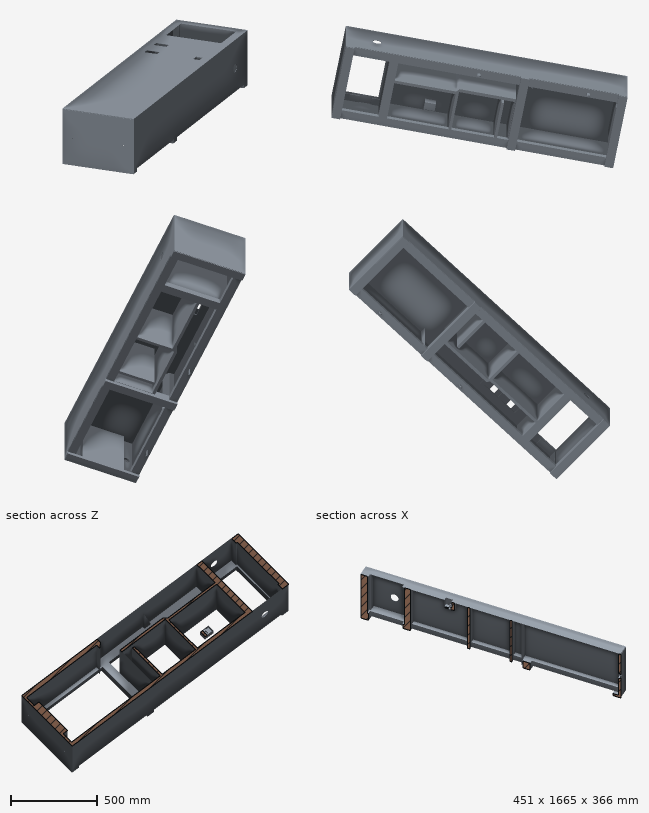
import cadquery as cq

LENGTH = 1665.0
WIDTH = 451.0
HEIGHT = 366.0
SHEET = 2.0

X_SIDE = WIDTH / 2
Y_END = LENGTH / 2
Z_TOP = HEIGHT / 2
Z_TAB_TIP = -HEIGHT / 2
Z_BOTTOM = -138.0
Z_FOOT = -158.0
X_SKIN = X_SIDE - SHEET
Y_SKIN = Y_END - SHEET
Z_SKIN = Z_TOP - SHEET
SKIN_SETBACK = 4.2
Z_SIDE_SKIN = Z_BOTTOM + SKIN_SETBACK
Z_END_SKIN = Z_FOOT + SKIN_SETBACK

FRAME = 50.0
Z_RAIL = -102.0
X_RAIL = X_SKIN - FRAME
FOOT_MIDDLE_Y = -228.0
Y_FOOT = Y_SKIN - FRAME

BAY_FRONT_Y = 553.0
BAY_LIP = 10.0
X_BAY = X_RAIL + BAY_LIP
OPENING_FRONT_Y = 565.0
RIM_THICKNESS = 12.0
RIM_RELIEF_Y = (601.0, 671.0)
BACK_PANEL_RECESS = 8.0

X_RIGHT_WALL = 200.0
DIVIDER_Y = 513.0
FRONT_BAY_Y = -200.0
FRONT_WALL_Y = -816.0
FRONT_BLOCK = (256.0, 33.0)
LEFT_WALL_END_Y = -250.0
X_LEFT_WALL = -195.0
LEFT_GUSSET = 32.0
X_MIDDLE_WALL = (-65.0, -48.0)
X_BRACKET_WALL = -83.0
MIDDLE_RIB_Y = (133.0, 150.0)
CROSS_BAR_Y = (-137.0, -120.0)
CROSS_WALL = 2.0
CROSS_BAR_END_X = -47.0
GUSSET_POINTS = [(148.0, Z_RAIL), (100.0, Z_RAIL), (100.0, 57.0)]
GUSSET_THICKNESS = 17.0

SLOT_X = (-173.0, -93.0)
SLOT_LENGTH = 37.0
SLOT_CENTERS_Y = (400.0, 265.0)
SLOT_FRAME_X = (-185.0, -80.0)
SLOT_FRAME_Y = (181.0, 460.0)
SLOT_FRAME_DEPTH = 10.0
SLOT_CELL_X = (-175.0, -92.0)
SLOT_CELL_LENGTH = 107.0
SLOT_CELL_OFFSET = 3.0

SOCKET_X = (133.0, 173.0)
SOCKET_Y = (250.0, 295.0)
SOCKET_DEPTH = 50.0
SOCKET_STEP_Y = 270.0
SOCKET_STEP_HEIGHT = 10.0
SOCKET_GROOVE_X = (142.0, 165.0)
SOCKET_GROOVE_Y = (258.0, 270.0)
SOCKET_CASE_FRONT_Y = 231.0

HOLE_Z = 10.0
SIDE_HOLE_Y = 648.0
SIDE_HOLE_DIAMETER = 50.0
FRONT_HOLE_X = 160.0
FRONT_HOLE_DIAMETER = 7.0
FRONT_BORE_DIAMETER = 37.0
FRONT_HOLE_SKIN = 5.0

HANGER_X = -198.0
HANGER_THICKNESS = 3.0
HANGER_STRIP_HEIGHT = 17.0
TAB_CENTERS_Y = (42.0, -605.0)
TAB_WIDTH = 18.0
EYE_THICKNESS = 4.7
EYE_HOLE_DIAMETER = 8.0


def block(x_range, y_range, z_range):
    """Rectangular block between pairs of X, Y and Z limits."""
    (x0, x1), (y0, y1), (z0, z1) = x_range, y_range, z_range
    corner = cq.Vector(x0, y0, z0)
    return cq.Workplane(cq.Solid.makeBox(x1 - x0, y1 - y0, z1 - z0, corner))


def cylinder_y(diameter, x, y_start, depth):
    """Cylinder that runs along +Y at the height of the holes."""
    start = cq.Vector(x, y_start, HOLE_Z)
    return cq.Workplane(cq.Solid.makeCylinder(diameter / 2, depth, start, cq.Vector(0, 1, 0)))


def cylinder_x(diameter, start, length):
    """Cylinder that runs along +X from a start point."""
    return cq.Workplane(cq.Solid.makeCylinder(diameter / 2, length, cq.Vector(*start), cq.Vector(1, 0, 0)))


def span(center, length):
    """Limits of a length centred on a place."""
    return (center - length / 2, center + length / 2)


def outer_block():
    """Outside of the housing: a core with feet, under side and end skins with open corners."""
    core_x = (-X_SKIN, X_SKIN)
    body = block(core_x, (-Y_SKIN, Y_SKIN), (Z_BOTTOM, Z_TOP))
    body = body.union(block((-X_SIDE, X_SIDE), span(FOOT_MIDDLE_Y, FRAME), (Z_FOOT, Z_SIDE_SKIN)))
    body = body.union(block((-X_SIDE, X_SIDE), (-Y_SKIN, Y_SKIN), (Z_SIDE_SKIN, Z_TOP)))
    for y_range in ((-Y_SKIN, -Y_FOOT), (Y_FOOT, Y_SKIN)):
        body = body.union(block(core_x, y_range, (Z_FOOT, Z_BOTTOM)))
        body = body.union(block((-X_SIDE, X_SIDE), y_range, (Z_END_SKIN, Z_SIDE_SKIN)))
    body = body.union(block(core_x, (-Y_END, -Y_SKIN), (Z_END_SKIN, Z_TOP - SKIN_SETBACK)))
    return body.union(block(core_x, (Y_SKIN, Y_END), (Z_END_SKIN, Z_TOP)))


def back_bay():
    """Space under the big opening, with thick side rims and a recessed back panel."""
    opening = block((-X_RAIL, X_RAIL), (OPENING_FRONT_Y, Y_FOOT), (Z_BOTTOM, Z_TOP))
    middle = block((-X_BAY, X_BAY), (BAY_FRONT_Y, Y_FOOT), (Z_RAIL, Z_SKIN))
    sides = block((-X_SKIN, X_SKIN), (BAY_FRONT_Y, Y_FOOT), (Z_RAIL, Z_TOP - RIM_THICKNESS))
    relief = block((-X_SKIN, X_SKIN), RIM_RELIEF_Y, (Z_RAIL, Z_SKIN))
    panel = block((-X_BAY, X_BAY), (Y_FOOT, Y_FOOT + BACK_PANEL_RECESS), (Z_RAIL, Z_SKIN))
    return opening.union(middle).union(sides).union(relief).union(panel)


def compartments():
    """Spaces under the rest of the top, narrowed between the bottom rails."""
    z_range = (Z_BOTTOM, Z_SKIN)
    socket_bay = block((X_MIDDLE_WALL[1], X_RIGHT_WALL), (MIDDLE_RIB_Y[1], DIVIDER_Y), z_range)
    center_bay = block((X_MIDDLE_WALL[0], X_RIGHT_WALL), (FRONT_BAY_Y + CROSS_WALL, MIDDLE_RIB_Y[0]), z_range)
    center_bay = center_bay.cut(block((CROSS_BAR_END_X, X_RIGHT_WALL), CROSS_BAR_Y, z_range))

    half_block = FRONT_BLOCK[0] / 2
    block_y = FRONT_WALL_Y + FRONT_BLOCK[1]
    left_gusset_y = LEFT_WALL_END_Y - LEFT_GUSSET
    long_bay_outline = [
        (-X_SKIN, DIVIDER_Y),
        (X_MIDDLE_WALL[0], DIVIDER_Y),
        (X_MIDDLE_WALL[0], MIDDLE_RIB_Y[1]),
        (X_BRACKET_WALL, MIDDLE_RIB_Y[0]),
        (X_BRACKET_WALL, FRONT_BAY_Y),
        (X_RIGHT_WALL, FRONT_BAY_Y),
        (X_RIGHT_WALL, FRONT_WALL_Y),
        (half_block, FRONT_WALL_Y),
        (half_block, block_y),
        (-half_block, block_y),
        (-half_block, FRONT_WALL_Y),
        (X_LEFT_WALL, FRONT_WALL_Y),
        (X_LEFT_WALL, left_gusset_y),
        (X_LEFT_WALL + LEFT_GUSSET, left_gusset_y),
        (X_LEFT_WALL, LEFT_WALL_END_Y),
        (-X_SKIN, LEFT_WALL_END_Y),
    ]
    long_bay = (
        cq.Workplane("XY", origin=(0, 0, Z_BOTTOM))
        .polyline(long_bay_outline)
        .close()
        .extrude(Z_SKIN - Z_BOTTOM)
    )
    spaces = socket_bay.union(center_bay).union(long_bay)
    for x_range in ((-X_SIDE, -X_RAIL), (X_RAIL, X_SIDE)):
        spaces = spaces.cut(block(x_range, (-Y_END, Y_END), (Z_BOTTOM, Z_RAIL)))
    y_foot = span(FOOT_MIDDLE_Y, FRAME)
    return spaces.cut(block((-X_SIDE, X_SIDE), y_foot, (Z_BOTTOM, Z_RAIL)))


def side_gusset():
    """Triangular rib on the left skin, standing on the bottom rail."""
    plane = cq.Workplane("YZ", origin=(-X_SKIN, 0, 0))
    return plane.polyline(GUSSET_POINTS).close().extrude(GUSSET_THICKNESS)


def slot_frame():
    """Frame under the slots with one open cell for each slot."""
    z_range = (Z_SKIN - SLOT_FRAME_DEPTH, Z_SKIN)
    frame = block(SLOT_FRAME_X, SLOT_FRAME_Y, z_range)
    for y in SLOT_CENTERS_Y:
        frame = frame.cut(block(SLOT_CELL_X, span(y - SLOT_CELL_OFFSET, SLOT_CELL_LENGTH), z_range))
    return frame


def socket_case():
    """Box that hangs under the top around the socket."""
    x_range = (SOCKET_X[0] - SHEET, SOCKET_X[1] + SHEET)
    y_range = (SOCKET_CASE_FRONT_Y, SOCKET_Y[1] + SHEET)
    z_case = Z_TOP - SOCKET_DEPTH - SOCKET_STEP_HEIGHT - SHEET
    return block(x_range, y_range, (z_case, Z_SKIN))


def socket_space():
    """Socket with a stepped floor and a groove in the step."""
    z_floor = Z_TOP - SOCKET_DEPTH
    space = block(SOCKET_X, SOCKET_Y, (z_floor, Z_TOP))
    z_step = z_floor + SOCKET_STEP_HEIGHT
    space = space.cut(block(SOCKET_X, (SOCKET_Y[0], SOCKET_STEP_Y), (z_floor, z_step)))
    groove = block(SOCKET_GROOVE_X, SOCKET_GROOVE_Y, (z_floor - SOCKET_STEP_HEIGHT, z_step))
    return space.union(groove)


def front_hole(x):
    """Small hole in the front skin that opens into a wider bore behind it."""
    depth = FRONT_WALL_Y + Y_END
    hole = cylinder_y(FRONT_HOLE_DIAMETER, x, -Y_END, depth)
    return hole.union(cylinder_y(FRONT_BORE_DIAMETER, x, -Y_END + FRONT_HOLE_SKIN, depth))


def side_hole():
    """Round hole through both sides of the back bay."""
    return cylinder_x(SIDE_HOLE_DIAMETER, (-X_SIDE, SIDE_HOLE_Y, HOLE_Z), WIDTH)


def hanger_strip():
    """Strip let into the underside of the left bottom rail."""
    y_range = (TAB_CENTERS_Y[1] - TAB_WIDTH / 2, TAB_CENTERS_Y[0] + TAB_WIDTH / 2)
    return block(span(HANGER_X, HANGER_THICKNESS), y_range, (Z_BOTTOM, Z_BOTTOM + HANGER_STRIP_HEIGHT))


def build_housing():
    body = outer_block().cut(back_bay()).cut(compartments())
    body = body.union(side_gusset()).union(slot_frame()).union(socket_case())
    for y in SLOT_CENTERS_Y:
        body = body.cut(block(SLOT_X, span(y, SLOT_LENGTH), (Z_SKIN, Z_TOP)))
    body = body.cut(socket_space()).cut(side_hole())
    for x in (-FRONT_HOLE_X, FRONT_HOLE_X):
        body = body.cut(front_hole(x))
    return body.cut(hanger_strip())


def build_hanger():
    """Strip with two tabs below the housing, each ending in a round eye."""
    hanger = hanger_strip()
    eye_z = Z_TAB_TIP + TAB_WIDTH / 2
    x_range = span(HANGER_X, HANGER_THICKNESS)
    for y in TAB_CENTERS_Y:
        hanger = hanger.union(block(x_range, span(y, TAB_WIDTH), (eye_z, Z_BOTTOM)))
        start = (HANGER_X - EYE_THICKNESS / 2, y, eye_z)
        hanger = hanger.union(cylinder_x(TAB_WIDTH, start, EYE_THICKNESS))
        hanger = hanger.cut(cylinder_x(EYE_HOLE_DIAMETER, start, EYE_THICKNESS))
    return hanger


housing = build_housing()
hanger = build_hanger()

result = cq.Compound.makeCompound([housing.solids().val(), hanger.solids().val()])